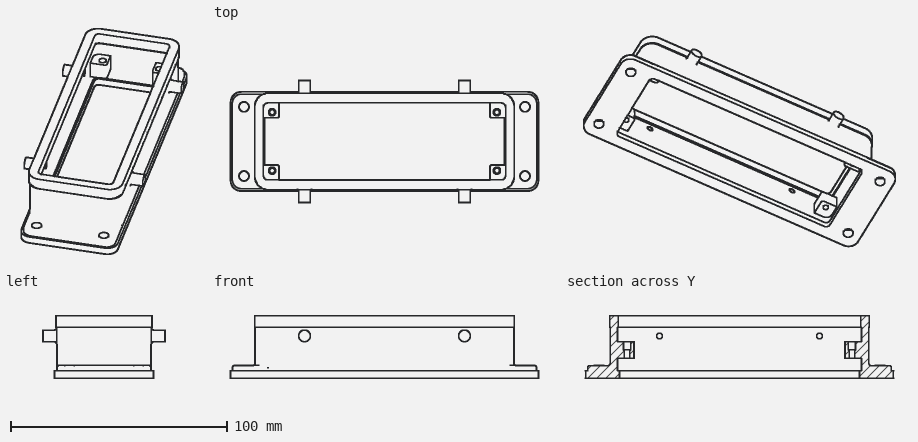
import cadquery as cq
import math

flange_length = 142.5
flange_width = 46.0
flange_height = 3.5
flange_corner_radius = 5.0

ear_inset = 0.9
ear_top = 6.0
ear_edge_radius = 1.2

wall_length = 120.0
wall_width = 43.7
wall_corner_radius = 6.2
wall_foot_radius = 0.75

total_height = 29.0
collar_height = 5.5
collar_length = 120.2
collar_width = 44.6
collar_bottom = total_height - collar_height

mouth_length = 112.0
mouth_width = 35.6
mouth_corner_radius = 2.0
chamber_length = 112.8
chamber_width = 37.2
chamber_corner_radius = 3.0
opening_length = 110.8
opening_width = 35.6
opening_corner_radius = 2.0

mounting_hole_diameter = 4.5
mounting_hole_x = 65.0
mounting_hole_y = 16.0

block_inner_x = 48.7
block_inner_y = 10.85
block_top = 17.0
block_bottom = 9.2
block_edge_radius = 1.0
screw_x = 52.0
screw_y = 13.5
screw_hole_diameter = 2.4
screw_bore_diameter = 3.3
screw_bore_depth = (block_top - block_bottom) / 2

peg_span = 56.5
peg_diameter = 5.4
peg_x = 37.0
peg_z = 19.6
peg_root_radius = 1.4
peg_tail_diameter = 2.7
peg_tail_height = 0.15

both_sides = (-1, 1)


def rounded_block(length, width, bottom, top, corner_radius):
    """Upright block, centred in X and Y, with rounded vertical edges."""
    block = cq.Workplane("XY").workplane(offset=bottom).rect(length, width).extrude(top - bottom)
    return block.edges("|Z").fillet(corner_radius)


def make_ears_and_wall():
    """Ear step with a rounded top edge, joined to the wall by a concave fillet at each end."""
    step_length = flange_length - 2 * ear_inset
    step = rounded_block(step_length, wall_width, 0, ear_top, flange_corner_radius - ear_inset)
    step = step.faces(">Z").edges().fillet(ear_edge_radius)
    wall = rounded_block(wall_length, wall_width, 0, collar_bottom, wall_corner_radius)

    margin = 0.01
    foot_edges = cq.selectors.BoxSelector(
        (-wall_length / 2 - margin, -wall_width / 2, ear_top - margin),
        (wall_length / 2 + margin, wall_width / 2, ear_top + margin),
    )
    return step.union(wall).edges(foot_edges).fillet(wall_foot_radius)


def make_outer_shell():
    flange = rounded_block(flange_length, flange_width, 0, flange_height, flange_corner_radius)
    collar = rounded_block(collar_length, collar_width, collar_bottom, total_height, wall_corner_radius)
    return flange.union(make_ears_and_wall()).union(collar)


def make_cavity():
    mouth = rounded_block(mouth_length, mouth_width, collar_bottom, total_height, mouth_corner_radius)
    chamber = rounded_block(chamber_length, chamber_width, flange_height, collar_bottom, chamber_corner_radius)
    opening = rounded_block(opening_length, opening_width, 0, flange_height, opening_corner_radius)
    return mouth.union(chamber).union(opening)


def make_screw_block(side_x, side_y):
    """Block from its free inner corner out to the chamber sides, which it overlaps slightly."""
    wall_overlap = 0.5
    size_x = chamber_length / 2 + wall_overlap - block_inner_x
    size_y = chamber_width / 2 + wall_overlap - block_inner_y
    block = (
        cq.Workplane("XY")
        .workplane(offset=block_bottom)
        .center(side_x * (block_inner_x + size_x / 2), side_y * (block_inner_y + size_y / 2))
        .rect(size_x, size_y)
        .extrude(block_top - block_bottom)
    )
    inner_face = "<X" if side_x > 0 else ">X"
    inner_edge = "<Y" if side_y > 0 else ">Y"
    return block.faces(inner_face).edges("|Z").edges(inner_edge).fillet(block_edge_radius)


def make_screw_hole(side_x, side_y):
    """Stepped hole: a wider bore from the top of the block, then a narrow hole through it."""
    top = cq.Workplane("XY").workplane(offset=block_top).center(side_x * screw_x, side_y * screw_y)
    bore = top.circle(screw_bore_diameter / 2).extrude(-screw_bore_depth)
    hole = top.circle(screw_hole_diameter / 2).extrude(block_bottom - block_top)
    return bore.union(hole)


def make_peg(centre_x, side_y):
    """Stepped peg with a concave flare at its root, turned about an axis along Y."""
    peg_radius = peg_diameter / 2
    tail_radius = peg_tail_diameter / 2
    root_y = wall_width / 2
    tail_y = chamber_width / 2 - peg_tail_height
    tip_y = peg_span / 2
    flare_base_y = root_y - peg_root_radius
    flare_radius = peg_radius + peg_root_radius
    flare_sag = peg_root_radius * (1 - math.sqrt(0.5))
    peg = (
        cq.Workplane("YZ")
        .moveTo(tail_y, 0)
        .lineTo(tail_y, tail_radius)
        .lineTo(flare_base_y, tail_radius)
        .lineTo(flare_base_y, flare_radius)
        .lineTo(root_y, flare_radius)
        .threePointArc(
            (root_y + flare_sag, peg_radius + flare_sag),
            (root_y + peg_root_radius, peg_radius),
        )
        .lineTo(tip_y, peg_radius)
        .lineTo(tip_y, 0)
        .close()
        .revolve(360, (0, 0, 0), (1, 0, 0))
    )
    if side_y < 0:
        peg = peg.mirror("XZ")
    return peg.translate((centre_x, 0, peg_z))


def make_mounting_holes():
    return (
        cq.Workplane("XY")
        .rect(2 * mounting_hole_x, 2 * mounting_hole_y, forConstruction=True)
        .vertices()
        .circle(mounting_hole_diameter / 2)
        .extrude(ear_top)
    )


result = make_outer_shell().cut(make_cavity()).cut(make_mounting_holes())
for side_x in both_sides:
    for side_y in both_sides:
        result = result.union(make_screw_block(side_x, side_y))
        result = result.cut(make_screw_hole(side_x, side_y))
        result = result.union(make_peg(side_x * peg_x, side_y))